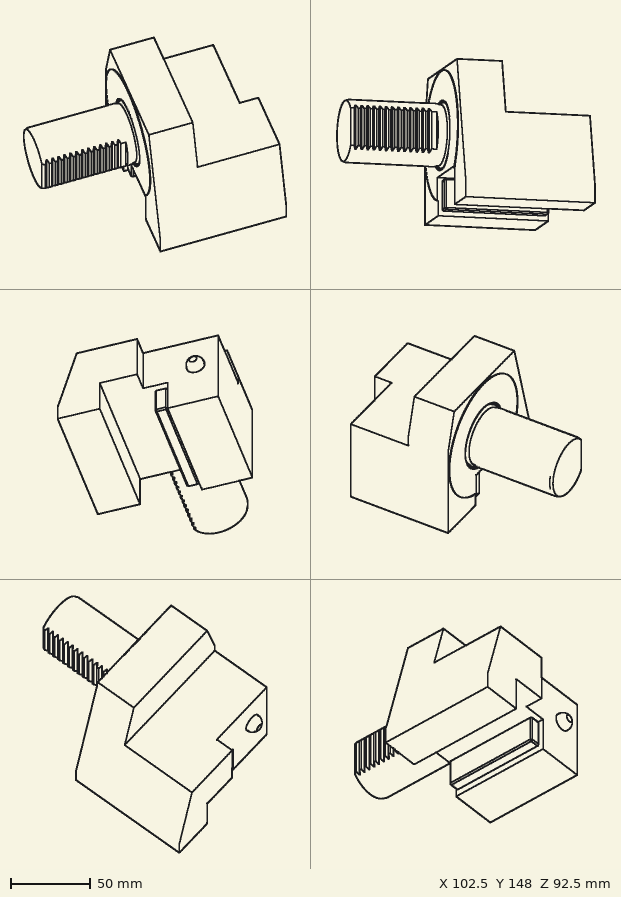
import cadquery as cq
import math


BODY_LEFT = -42.5
BODY_RIGHT = 60.0
BODY_TOP = 42.5
BODY_BOTTOM = -50.0
BODY_BACK = 85.0
FACE_RELIEF = 0.5
FACE_RADIUS = 41.5
FLANK_ANGLE = math.radians(15)
LEFT_FLANK_WIDTH = 7.5
RIGHT_FOOT_HEIGHT = 11.0
FRONT_BLOCK_END = 30.0
REAR_TOP = 8.25
STEP_Y = 72.5
STEP_X = 7.25

SLOT_LEFT = -9.0
SLOT_RIGHT = 32.0
SLOT_TOP = -25.5

BAR_GAP = 1.0
BAR_WIDTH = 8.0
BAR_HEIGHT = 20.0
BAR_CENTER_Z = -37.2
BAR_INSET = 2.0
BAR_CHAMFER = 1.0
NECK_DIAMETER = 8.4
NECK_EMBED = 1.0

SHANK_LENGTH = 63.0
SHANK_RADIUS = 20.0
SHANK_END_RADIUS = 38.7 / 2
TAPER_START = 1.3
TAPER_END = 3.5
END_CHAMFER_LENGTH = 2.0

FLAT_X = 16.0
FLAT_START = 7.0
FLAT_END_CHAMFER = 0.9
TOOTH_PITCH = 4.0
TOOTH_DEPTH = 1.8
TOOTH_HALF_ANGLE = math.radians(30)
ROOT_WIDTH = 0.5
FIRST_ROOT = 11.6
ROOT_COUNT = 13

RECESS_RADIUS = 21.5
RECESS_DEPTH = 2.0
RECESS_CHAMFER = 0.75
RING_RADIUS = 19.0
RING_SECTION_RADIUS = 1.75
RING_CENTER_Y = 0.8

BALL_RADIUS = 6.0
BALL_FLAT_DIAMETER = 5.0
BALL_PROTRUSION = 6.0
BALL_X = -27.7
BALL_Z = -16.0


def box(x_range, y_range, z_range):
    """Box spanning the given (low, high) pairs."""
    sizes = [high - low for low, high in (x_range, y_range, z_range)]
    corner = (x_range[0], y_range[0], z_range[0])
    return cq.Workplane("XY").box(*sizes, centered=False).translate(corner)


def revolve_about_y(points):
    """Solid of revolution about the Y axis from (radius, y) points."""
    return cq.Workplane("XY").polyline(points).close().revolve(360, (0, 0, 0), (0, 1, 0))


def make_body():
    lean = math.tan(FLANK_ANGLE)
    right_foot_top = BODY_BOTTOM + RIGHT_FOOT_HEIGHT
    outline = [
        (BODY_LEFT, BODY_BOTTOM),
        (BODY_RIGHT, BODY_BOTTOM),
        (BODY_RIGHT, right_foot_top),
        (BODY_RIGHT - (BODY_TOP - right_foot_top) * lean, BODY_TOP),
        (BODY_LEFT + LEFT_FLANK_WIDTH, BODY_TOP),
        (BODY_LEFT, BODY_TOP - LEFT_FLANK_WIDTH / lean),
    ]
    body = (
        cq.Workplane("XZ", origin=(0, FACE_RELIEF, 0))
        .polyline(outline)
        .close()
        .extrude(FACE_RELIEF - BODY_BACK)
    )
    above_rear = box((BODY_LEFT, BODY_RIGHT), (FRONT_BLOCK_END, BODY_BACK), (REAR_TOP, BODY_TOP))
    rear_step = box((BODY_LEFT, STEP_X), (STEP_Y, BODY_BACK), (BODY_BOTTOM, BODY_TOP))
    locating_face = cq.Workplane("XZ").circle(FACE_RADIUS).extrude(-2 * FACE_RELIEF)
    slot = box((SLOT_LEFT, SLOT_RIGHT), (0, BODY_BACK), (BODY_BOTTOM, SLOT_TOP))
    return body.cut(above_rear).cut(rear_step).union(locating_face).cut(slot)


def make_recess():
    return revolve_about_y([
        (0, 0),
        (RECESS_RADIUS + RECESS_CHAMFER, 0),
        (RECESS_RADIUS, RECESS_CHAMFER),
        (RECESS_RADIUS, RECESS_DEPTH),
        (0, RECESS_DEPTH),
    ])


def make_shank():
    shank = revolve_about_y([
        (0, RECESS_DEPTH),
        (SHANK_END_RADIUS, RECESS_DEPTH),
        (SHANK_END_RADIUS, -TAPER_START),
        (SHANK_RADIUS, -TAPER_END),
        (SHANK_RADIUS, END_CHAMFER_LENGTH - SHANK_LENGTH),
        (SHANK_END_RADIUS, -SHANK_LENGTH),
        (0, -SHANK_LENGTH),
    ])
    return shank.cut(make_flat()).cut(make_tooth_gaps())


def make_flat():
    """Material beyond the flat, including the chamfer at its free end."""
    outline = [
        (SHANK_RADIUS, -FLAT_START),
        (FLAT_X, -FLAT_START),
        (FLAT_X, END_CHAMFER_LENGTH - SHANK_LENGTH),
        (FLAT_X - FLAT_END_CHAMFER, -SHANK_LENGTH),
        (SHANK_RADIUS, -SHANK_LENGTH),
    ]
    return cq.Workplane("XY").polyline(outline).close().extrude(SHANK_RADIUS, both=True)


def make_tooth_gaps():
    root_half = ROOT_WIDTH / 2
    mouth_half = root_half + TOOTH_DEPTH * math.tan(TOOTH_HALF_ANGLE)
    gaps = cq.Workplane("XY")
    for index in range(ROOT_COUNT):
        y = -FIRST_ROOT - index * TOOTH_PITCH
        outline = [
            (FLAT_X, y - mouth_half),
            (FLAT_X, y + mouth_half),
            (FLAT_X - TOOTH_DEPTH, y + root_half),
            (FLAT_X - TOOTH_DEPTH, y - root_half),
        ]
        gap = cq.Workplane("XY").polyline(outline).close().extrude(SHANK_RADIUS, both=True)
        gaps = gaps.add(gap)
    return gaps.combine()


def make_ring():
    return (
        cq.Workplane("XY")
        .center(RING_RADIUS, RING_CENTER_Y)
        .circle(RING_SECTION_RADIUS)
        .revolve(360, (-RING_RADIUS, 0, 0), (-RING_RADIUS, 1, 0))
    )


def make_clamping_bar():
    bar_left = SLOT_LEFT + BAR_GAP
    bar = box(
        (bar_left, bar_left + BAR_WIDTH),
        (FACE_RELIEF + BAR_INSET, STEP_Y - BAR_INSET),
        (BAR_CENTER_Z - BAR_HEIGHT / 2, BAR_CENTER_Z + BAR_HEIGHT / 2),
    ).edges().chamfer(BAR_CHAMFER)
    neck_start = (SLOT_LEFT - NECK_EMBED, (FACE_RELIEF + STEP_Y) / 2, BAR_CENTER_Z)
    neck = (
        cq.Workplane("YZ", origin=neck_start)
        .circle(NECK_DIAMETER / 2)
        .extrude(BAR_GAP + 2 * NECK_EMBED)
    )
    return bar.union(neck)


def make_nozzle_ball():
    flat_distance = math.sqrt(BALL_RADIUS**2 - (BALL_FLAT_DIAMETER / 2) ** 2)
    flat_y = STEP_Y + BALL_PROTRUSION
    ball = cq.Workplane("XY").sphere(BALL_RADIUS).translate((BALL_X, flat_y - flat_distance, BALL_Z))
    beyond_flat = box(
        (BALL_X - BALL_RADIUS, BALL_X + BALL_RADIUS),
        (flat_y, flat_y + BALL_RADIUS),
        (BALL_Z - BALL_RADIUS, BALL_Z + BALL_RADIUS),
    )
    return ball.cut(beyond_flat)


result = (
    make_body()
    .cut(make_recess())
    .union(make_shank())
    .union(make_ring())
    .union(make_clamping_bar())
    .union(make_nozzle_ball())
)